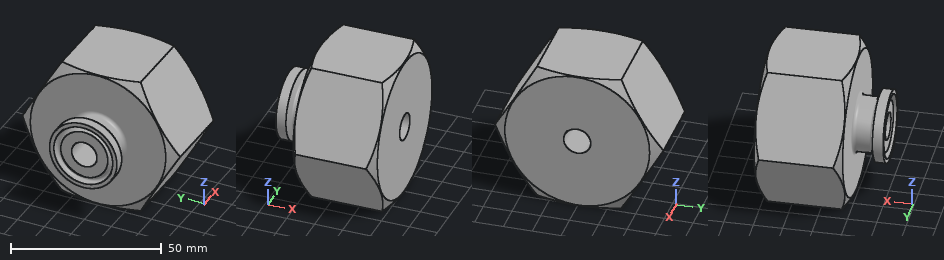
import cadquery as cq
import math

across_corners = 58.65
total_length = 41.3
nut_length = 30.15
nut_start = total_length - nut_length

chamfer_face_diameter = 50.3
chamfer_angle = 30.0

flange_diameter = 25.0
flange_rim_width = 3.65
flange_back_angle = 20.0
flange_root_fillet = 0.65
neck_diameter = 19.05
nut_root_fillet = 1.4

groove_diameter = 21.9
groove_wall_depth = 1.45
land_base_diameter = 19.05
land_face_diameter = 17.5
land_cone_angle = 35.0
bore_diameter = 9.4


def revolve_about_x(profile):
    """Turn a closed half profile, drawn in the XY plane, around the X axis."""
    return profile.revolve(360, (0, 0, 0), (1, 0, 0))


def make_chamfered_hexagon():
    """Hexagonal nut with corners along Y, turned to a cone at both ends."""
    hexagon = (
        cq.Workplane("YZ", origin=(nut_start, 0, 0))
        .polygon(6, across_corners)
        .extrude(nut_length)
    )
    corner_radius = across_corners / 2
    face_radius = chamfer_face_diameter / 2
    chamfer_length = (corner_radius - face_radius) * math.tan(math.radians(chamfer_angle))
    envelope_profile = (
        cq.Workplane("XY")
        .moveTo(nut_start, 0)
        .lineTo(nut_start, face_radius)
        .lineTo(nut_start + chamfer_length, corner_radius)
        .lineTo(total_length - chamfer_length, corner_radius)
        .lineTo(total_length, face_radius)
        .lineTo(total_length, 0)
        .close()
    )
    return hexagon.intersect(revolve_about_x(envelope_profile))


def make_flanged_neck():
    """Turned flange with a sloping back, a neck and rounded roots."""
    neck_radius = neck_diameter / 2
    flange_radius = flange_diameter / 2
    slope = math.radians(flange_back_angle)
    cone_end = flange_rim_width + (flange_radius - neck_radius) * math.tan(slope)

    tangent_length = flange_root_fillet * math.tan((math.pi / 2 - slope) / 2)
    round_start = (
        cone_end - tangent_length * math.sin(slope),
        neck_radius + tangent_length * math.cos(slope),
    )
    round_end = (cone_end + tangent_length, neck_radius)

    profile = (
        cq.Workplane("XY")
        .lineTo(0, flange_radius)
        .lineTo(flange_rim_width, flange_radius)
        .lineTo(*round_start)
        .radiusArc(round_end, -flange_root_fillet)
        .lineTo(nut_start - nut_root_fillet, neck_radius)
        .radiusArc((nut_start, neck_radius + nut_root_fillet), -nut_root_fillet)
        .lineTo(nut_start, 0)
        .close()
    )
    return revolve_about_x(profile)


def make_face_recess():
    """Cutter for the round-bottomed groove and the recess over the land."""
    groove_radius = groove_diameter / 2
    land_base_radius = land_base_diameter / 2
    land_face_radius = land_face_diameter / 2
    cone = math.radians(land_cone_angle)

    bottom_radius = (groove_radius - land_base_radius) / (1 + math.cos(cone))
    bottom_center_radius = groove_radius - bottom_radius
    groove_depth = groove_wall_depth + bottom_radius
    land_base_depth = groove_wall_depth + bottom_radius * math.sin(cone)
    land_recess = land_base_depth - (land_base_radius - land_face_radius) / math.tan(cone)

    profile = (
        cq.Workplane("XY")
        .lineTo(0, groove_radius)
        .lineTo(groove_wall_depth, groove_radius)
        .threePointArc((groove_depth, bottom_center_radius), (land_base_depth, land_base_radius))
        .lineTo(land_recess, land_face_radius)
        .lineTo(land_recess, 0)
        .close()
    )
    return revolve_about_x(profile)


bore = cq.Workplane("YZ").circle(bore_diameter / 2).extrude(total_length)

result = (
    make_chamfered_hexagon()
    .union(make_flanged_neck())
    .cut(make_face_recess())
    .cut(bore)
)